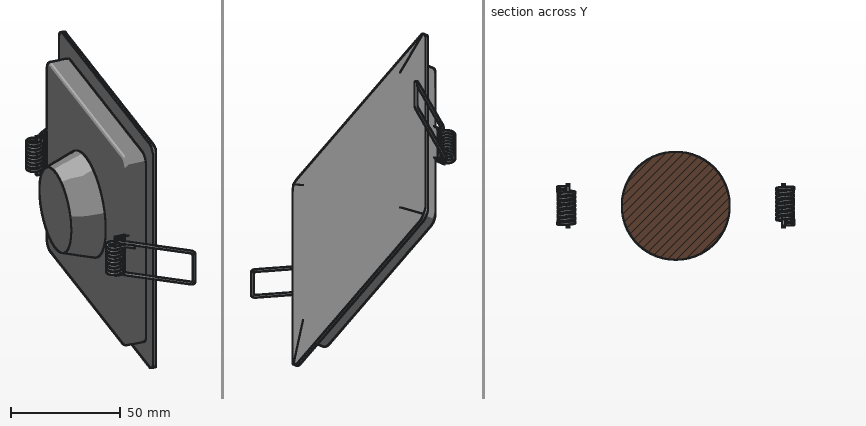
import cadquery as cq
import math


plate_size = 118.0
plate_corner_radius = 5.0
rim_thickness = 1.5
bevel_height = 4.0
crown_size = 86.2

housing_size = 100.0
housing_depth = 10.0
housing_corner_radius = 5.0
housing_edge_fillet = 1.5

lug_height = 20.0
lug_length = 5.0
lug_thickness = 1.5
window_height = 17.9
window_margin = 0.5
lug_bar_width = 1.9

cover_base_diameter = 50.0
cover_end_diameter = 40.0
cover_depth = 15.0

wire_diameter = 1.4
coil_mean_diameter = 6.9
coil_turns = 7.75
coil_bottom_z = -6.9
coil_top_z = 8.0
upper_leg_z = 8.0
lower_leg_z = -8.4
coil_axis_drop = 0.3
clip_bend_radius = 1.5
leg_end_distance = 1.0
tail_end_distance = 9.4
tail_bend_distance = 6.7
leg_bend_distance = 5.7
clip_reach_x = 73.3
clip_reach_y = 15.4

housing_front_y = -housing_depth
coil_axis_x = housing_size / 2
lug_end_y = housing_front_y - lug_length
coil_axis_y = lug_end_y - coil_axis_drop
wire_radius = wire_diameter / 2
coil_radius = coil_mean_diameter / 2


def rounded_square_block(size, corner_radius, y_start, y_end):
    """Square block centred on the Y axis, with its four Y edges rounded."""
    depth = y_end - y_start
    block = cq.Workplane("XY").box(size, depth, size).translate((0, y_start + depth / 2, 0))
    return block.edges("|Y").fillet(corner_radius)


def make_front_plate():
    plate = rounded_square_block(plate_size, plate_corner_radius, 0, rim_thickness + bevel_height)
    bevel = (
        cq.Workplane("XZ", origin=(0, rim_thickness, 0))
        .rect(plate_size, plate_size)
        .workplane(offset=-bevel_height)
        .rect(crown_size, crown_size)
        .loft(ruled=True)
    )
    rim = cq.Workplane("XY").box(plate_size, rim_thickness, plate_size)
    rim = rim.translate((0, rim_thickness / 2, 0))
    return plate.intersect(rim.union(bevel))


def make_lug():
    """Lug on the +X side; the coil passes through its window and around its end bar."""
    root_y = housing_front_y + housing_edge_fillet
    lug_depth = root_y - lug_end_y
    centre_x = housing_size / 2 - lug_thickness / 2
    lug = cq.Workplane("XY").box(lug_thickness, lug_depth, lug_height)
    lug = lug.translate((centre_x, lug_end_y + lug_depth / 2, 0))
    window_start_y = lug_end_y + lug_bar_width
    window_end_y = housing_front_y - window_margin
    window_depth = window_end_y - window_start_y
    window = cq.Workplane("XY").box(lug_thickness, window_depth, window_height)
    window = window.translate((centre_x, window_start_y + window_depth / 2, 0))
    return lug.cut(window)


def make_housing():
    body = rounded_square_block(housing_size, housing_corner_radius, housing_front_y, 0)
    body = body.faces("<Y").edges().fillet(housing_edge_fillet)
    right_lug = make_lug()
    left_lug = right_lug.mirror("YZ")
    return body.union(right_lug).union(left_lug)


def make_driver_cover():
    cone = cq.Solid.makeCone(
        cover_base_diameter / 2,
        cover_end_diameter / 2,
        cover_depth,
        pnt=cq.Vector(0, housing_front_y, 0),
        dir=cq.Vector(0, -1, 0),
    )
    return cq.Workplane(cone)


def make_spring_clip():
    """Clip on the -X side, swept around a coil axis on Z and then moved to its lug."""
    tip_x = -(clip_reach_x - wire_radius - coil_axis_x)
    tip_y = clip_reach_y - wire_radius - coil_axis_y
    tip_distance = math.hypot(tip_x, tip_y)
    leg_direction = cq.Vector(tip_x, tip_y, 0).normalized()

    def on_leg(distance, z):
        return leg_direction * distance + cq.Vector(0, 0, z)

    coil_height = coil_top_z - coil_bottom_z
    pitch = coil_height / coil_turns
    coil = cq.Wire.makeHelix(pitch, coil_height, coil_radius)
    coil = coil.rotate(cq.Vector(0, 0, 0), cq.Vector(0, 0, 1), 180)
    coil = coil.translate(cq.Vector(0, 0, coil_bottom_z))
    coil_start = cq.Vector(-coil_radius, 0, coil_bottom_z)
    coil_end = cq.Vector(0, coil_radius, coil_top_z)
    climb = pitch / (2 * math.pi * coil_radius)
    start_direction = cq.Vector(0, -1, climb)
    end_direction = cq.Vector(-1, 0, climb)

    tail_end = on_leg(tail_end_distance, coil_bottom_z)
    tail_bend = on_leg(tail_bend_distance, coil_bottom_z)
    tail = cq.Edge.makeLine(tail_end, tail_bend)
    tail_curve = cq.Edge.makeSpline([tail_bend, coil_start], tangents=[-leg_direction, start_direction])

    straight_end = tip_distance - clip_bend_radius
    arc_middle_distance = straight_end + clip_bend_radius * math.sqrt(0.5)
    arc_middle_inset = clip_bend_radius * (1 - math.sqrt(0.5))
    leg_bend = on_leg(leg_bend_distance, upper_leg_z)
    upper_leg_end = on_leg(straight_end, upper_leg_z)
    upper_arc_middle = on_leg(arc_middle_distance, upper_leg_z - arc_middle_inset)
    bar_top = on_leg(tip_distance, upper_leg_z - clip_bend_radius)
    bar_bottom = on_leg(tip_distance, lower_leg_z + clip_bend_radius)
    lower_arc_middle = on_leg(arc_middle_distance, lower_leg_z + arc_middle_inset)
    lower_leg_start = on_leg(straight_end, lower_leg_z)
    lower_leg_end = on_leg(leg_end_distance, lower_leg_z)
    leg_curve = cq.Edge.makeSpline([coil_end, leg_bend], tangents=[end_direction, leg_direction])
    upper_leg = cq.Edge.makeLine(leg_bend, upper_leg_end)
    upper_corner = cq.Edge.makeThreePointArc(upper_leg_end, upper_arc_middle, bar_top)
    crossbar = cq.Edge.makeLine(bar_top, bar_bottom)
    lower_corner = cq.Edge.makeThreePointArc(bar_bottom, lower_arc_middle, lower_leg_start)
    lower_leg = cq.Edge.makeLine(lower_leg_start, lower_leg_end)

    path = cq.Wire.assembleEdges(
        [tail, tail_curve, *coil.Edges(), leg_curve]
        + [upper_leg, upper_corner, crossbar, lower_corner, lower_leg]
    )
    section = cq.Workplane(cq.Plane(origin=tail_end.toTuple(), normal=(-leg_direction).toTuple()))
    clip = section.circle(wire_radius).sweep(cq.Workplane(path))
    return clip.translate((-coil_axis_x, coil_axis_y, 0))


front_plate = make_front_plate()
housing = make_housing()
driver_cover = make_driver_cover()

base_clip = make_spring_clip()
spring_clips = [base_clip.rotate((0, 0, 0), (0, 1, 0), angle).val() for angle in (0, 180)]

result = cq.Compound.makeCompound(
    [front_plate.val(), housing.val(), driver_cover.val(), *spring_clips]
)